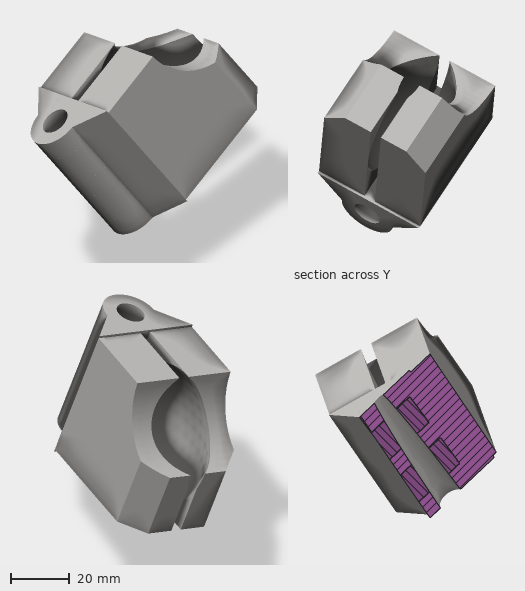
import cadquery as cq


hinge_length = 49.9
knuckle_radius = 9.95
pin_hole_diameter = 10.0
outer_knuckle_length = 8.1
inner_knuckle_length = 12.85
middle_knuckle_length = hinge_length - 2 * (outer_knuckle_length + inner_knuckle_length)

half_width = 20.0
jaw_height = 48.1
jaw_end_inset = 0.9
slot_width = 4.0
tip_chamfer = 8.0

scoop_radius = 25.0
scoop_height = 25.0
dish_height = scoop_height
dish_depth = hinge_length / 2
dish_radius = 30.0
dish_offset = 16.1

roll = 17.9
pitch = -30.0
yaw = -27.2

jaw_base = knuckle_radius


def knuckle_spans():
    """Start depth and length of each knuckle, from the Z = 0 end."""
    lengths = [
        outer_knuckle_length,
        inner_knuckle_length,
        middle_knuckle_length,
        inner_knuckle_length,
        outer_knuckle_length,
    ]
    spans = []
    depth = 0
    for length in lengths:
        spans.append((depth, length))
        depth += length
    return spans


def knuckle(depth, length):
    return cq.Workplane("XY", origin=(0, 0, -depth)).circle(knuckle_radius).extrude(-length)


def gusset(side):
    """Tapered plate that joins one jaw to its knuckles; it ends on the split plane X = 0."""
    return (
        cq.Workplane("XY")
        .moveTo(0, jaw_base)
        .lineTo(side * half_width, jaw_base)
        .lineTo(side * knuckle_radius, 0)
        .lineTo(0, 0)
        .close()
        .extrude(-hinge_length)
    )


def jaw(side):
    """Jaw block with a chamfered outer tip, the scoop and a spherical dish in its inner face."""
    inner = slot_width / 2
    tip = jaw_base + jaw_height
    block = (
        cq.Workplane("XY", origin=(0, 0, -jaw_end_inset))
        .moveTo(side * inner, jaw_base)
        .lineTo(side * half_width, jaw_base)
        .lineTo(side * half_width, tip - tip_chamfer)
        .lineTo(side * (half_width - tip_chamfer), tip)
        .lineTo(side * inner, tip)
        .close()
        .extrude(-(hinge_length - 2 * jaw_end_inset))
    )
    scoop = (
        cq.Workplane("YZ")
        .center(jaw_base + scoop_height + scoop_radius, 0)
        .circle(scoop_radius)
        .extrude(half_width, both=True)
    )
    dish = cq.Workplane("XY").sphere(dish_radius).translate(
        (-side * dish_offset, jaw_base + dish_height, -dish_depth)
    )
    return block.cut(scoop).cut(dish)


def clamp_half(side, first_knuckle):
    """One jaw with every second knuckle, relieved where the other half's knuckles fit."""
    half = gusset(side).union(jaw(side))
    for index, (depth, length) in enumerate(knuckle_spans()):
        if index % 2 == first_knuckle:
            half = half.union(knuckle(depth, length))
        else:
            half = half.cut(knuckle(depth, length))
    pin_hole = cq.Workplane("XY").circle(pin_hole_diameter / 2).extrude(-hinge_length)
    return half.cut(pin_hole)


def tilt(body):
    origin = (0, 0, 0)
    body = body.rotate(origin, (1, 0, 0), roll)
    body = body.rotate(origin, (0, 1, 0), pitch)
    return body.rotate(origin, (0, 0, 1), yaw)


three_knuckle_half = tilt(clamp_half(1, 0))
two_knuckle_half = tilt(clamp_half(-1, 1))

result = cq.Compound.makeCompound([three_knuckle_half.solids().val(), two_knuckle_half.solids().val()])